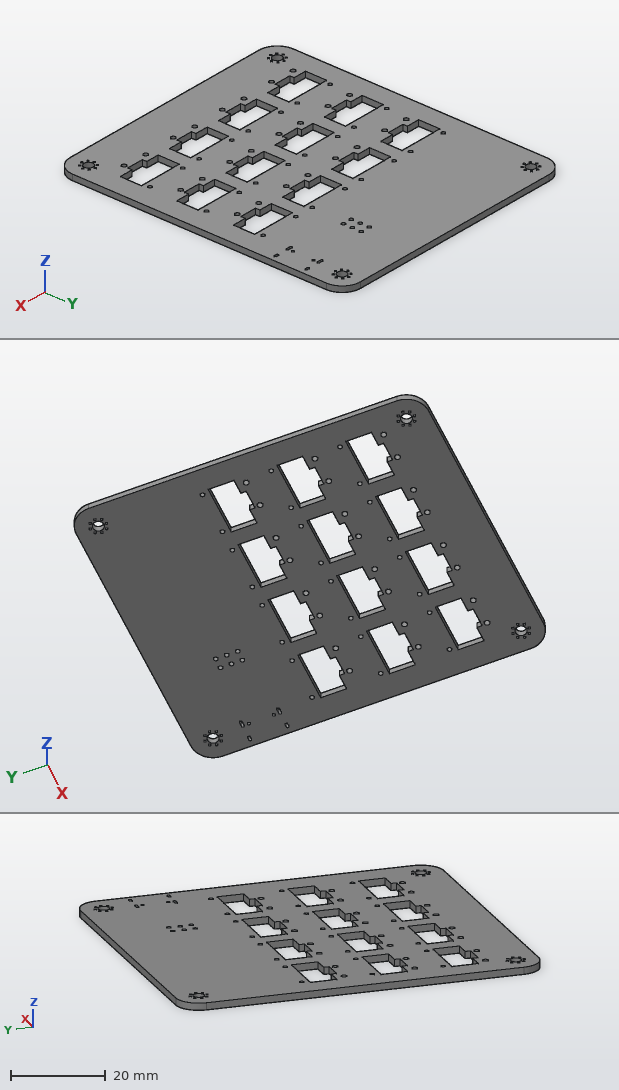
import cadquery as cq
import math

BOARD_X = 71.1
BOARD_Y = 81.3
THICKNESS = 1.6
CORNER_INSET = 5.1

MOUNT_DIAMETER = 2.5
VIA_DIAMETER = 0.5
VIA_COUNT = 8
VIA_RING_RADIUS = 1.9

KEY_COLUMNS = 4
KEY_ROWS = 3
KEY_PITCH = 15.85
GRID_CENTER = (-0.2, -8.45)

OPENING_X = 12.2
OPENING_Y = 5.9
TAB_X = 4.7
TAB_DEPTH = 1.2
TAB_OFFSET_X = -0.1

UPPER_PIN_DIAMETER = 1.0
UPPER_PIN_SPACING = 10.6
UPPER_PIN_Y = 4.6
LOWER_PIN_DIAMETER = 1.2
LOWER_PINS = [(-4.55, -5.1), (2.0, -5.45)]

HEADER_COLUMNS = 2
HEADER_ROWS = 3
HEADER_PITCH = 2.5
HEADER_DIAMETER = 1.0
HEADER_CENTER = (12.8, 24.1)

CONNECTOR_Y = 24.1
SLOT_ROW_SPACING = 8.6
SLOT_WIDTH = 0.6
REAR_SLOT_X = 29.4
REAR_SLOT_LENGTH = 1.7
FRONT_SLOT_X = 33.6
FRONT_SLOT_LENGTH = 1.2
PEG_X = 29.9
PEG_SPACING = 5.8
PEG_DIAMETER = 0.65


def drill(diameter, points):
    """Through-thickness cylinders at the given points."""
    return cq.Workplane("XY").pushPoints(points).circle(diameter / 2).extrude(THICKNESS)


def grid(columns, rows, pitch, center):
    """Points of a square-pitch grid about a centre."""
    center_x, center_y = center
    return [
        (center_x + (column - (columns - 1) / 2) * pitch, center_y + (row - (rows - 1) / 2) * pitch)
        for column in range(columns)
        for row in range(rows)
    ]


def offset_points(centers, offsets):
    """Every offset repeated about every centre."""
    return [(x + dx, y + dy) for x, y in centers for dx, dy in offsets]


def board_blank():
    blank = cq.Workplane("XY").rect(BOARD_X, BOARD_Y).extrude(THICKNESS)
    return blank.edges("|Z").fillet(CORNER_INSET)


def mounting_holes():
    mount_x = BOARD_X / 2 - CORNER_INSET
    mount_y = BOARD_Y / 2 - CORNER_INSET
    centers = [(side_x * mount_x, side_y * mount_y) for side_x in (-1, 1) for side_y in (-1, 1)]
    angles = [2 * math.pi * index / VIA_COUNT for index in range(VIA_COUNT)]
    ring = [(VIA_RING_RADIUS * math.cos(angle), VIA_RING_RADIUS * math.sin(angle)) for angle in angles]
    vias = drill(VIA_DIAMETER, offset_points(centers, ring))
    return drill(MOUNT_DIAMETER, centers).add(vias)


def switch_openings(centers):
    body = cq.Workplane("XY").pushPoints(centers).rect(OPENING_X, OPENING_Y).extrude(THICKNESS)
    tab_length = OPENING_Y / 2 + TAB_DEPTH
    tab_centers = offset_points(centers, [(TAB_OFFSET_X, -tab_length / 2)])
    tabs = cq.Workplane("XY").pushPoints(tab_centers).rect(TAB_X, tab_length).extrude(THICKNESS)
    return body.add(tabs)


def switch_pins(centers):
    upper_pins = [(side * UPPER_PIN_SPACING / 2, UPPER_PIN_Y) for side in (-1, 1)]
    upper = drill(UPPER_PIN_DIAMETER, offset_points(centers, upper_pins))
    lower = drill(LOWER_PIN_DIAMETER, offset_points(centers, LOWER_PINS))
    return upper.add(lower)


def header_holes():
    return drill(HEADER_DIAMETER, grid(HEADER_COLUMNS, HEADER_ROWS, HEADER_PITCH, HEADER_CENTER))


def mirrored_pair(x, spacing):
    """Two points either side of the connector axis."""
    return [(x, CONNECTOR_Y + side * spacing / 2) for side in (-1, 1)]


def shell_slots(x, length):
    points = mirrored_pair(x, SLOT_ROW_SPACING)
    return cq.Workplane("XY").pushPoints(points).slot2D(length, SLOT_WIDTH).extrude(THICKNESS)


def connector_holes():
    slots = shell_slots(REAR_SLOT_X, REAR_SLOT_LENGTH).add(shell_slots(FRONT_SLOT_X, FRONT_SLOT_LENGTH))
    return slots.add(drill(PEG_DIAMETER, mirrored_pair(PEG_X, PEG_SPACING)))


key_centers = grid(KEY_COLUMNS, KEY_ROWS, KEY_PITCH, GRID_CENTER)
cutters = [
    mounting_holes(),
    switch_openings(key_centers),
    switch_pins(key_centers),
    header_holes(),
    connector_holes(),
]

result = board_blank()
for cutter in cutters:
    for solid in cutter.vals():
        result = result.cut(cq.Workplane(solid))